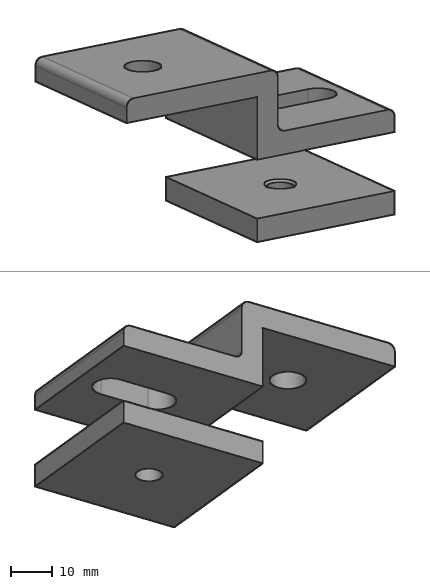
import cadquery as cq

width = 40.0
total_length = 78.0
thickness = 6.0
plate_length = 40.0
gap = 15.0
bracket_height = 22.0
edge_radius = 2.0

bolt_hole_diameter = 9.0
slot_width = 9.0
slot_length = 22.55
slot_offset = 4.2
bolt_hole_setback = 18.0
plate_hole_diameter = 6.6
chamfer_size = 0.6

back_y = total_length / 2
front_y = -total_length / 2
plate_front_y = back_y - plate_length
web_back_y = plate_front_y + thickness
bracket_bottom_z = thickness + gap
leg_top_z = bracket_bottom_z + thickness
bracket_top_z = bracket_bottom_z + bracket_height
leg_center_y = back_y - plate_length / 2
bolt_hole_y = front_y + bolt_hole_setback


def make_clamp_plate():
    """Flat plate with one hole, chamfered at its upper rim."""
    plate = cq.Workplane("XY").box(width, plate_length, thickness, centered=(True, True, False))
    plate = plate.faces(">Z").workplane().hole(plate_hole_diameter)
    plate = plate.faces(">Z").edges("%CIRCLE").chamfer(chamfer_size)
    return plate.translate((0, leg_center_y, 0))


def make_bracket_body():
    """Z-shaped profile in the YZ plane, extruded across the width."""
    body = (
        cq.Workplane("YZ")
        .moveTo(back_y, bracket_bottom_z)
        .lineTo(back_y, leg_top_z)
        .lineTo(web_back_y, leg_top_z)
        .lineTo(web_back_y, bracket_top_z)
        .lineTo(front_y, bracket_top_z)
        .lineTo(front_y, bracket_top_z - thickness)
        .lineTo(plate_front_y, bracket_top_z - thickness)
        .lineTo(plate_front_y, bracket_bottom_z)
        .close()
        .extrude(width / 2, both=True)
    )
    rounded_corners = [
        (back_y, leg_top_z),
        (web_back_y, leg_top_z),
        (web_back_y, bracket_top_z),
        (front_y, bracket_top_z),
    ]
    for y, z in rounded_corners:
        body = body.edges(cq.NearestToPointSelector((0, y, z))).fillet(edge_radius)
    return body


def make_bracket():
    """Stepped bracket with a slot in the lower leg and a hole in the upper leg."""
    slot = (
        cq.Workplane("XY", origin=(0, leg_center_y + slot_offset, bracket_bottom_z))
        .slot2D(slot_length, slot_width, 90)
        .extrude(thickness)
    )
    bolt_hole = (
        cq.Workplane("XY", origin=(0, bolt_hole_y, bracket_top_z - thickness))
        .circle(bolt_hole_diameter / 2)
        .extrude(thickness)
    )
    return make_bracket_body().cut(slot).cut(bolt_hole)


clamp_plate = make_clamp_plate()
bracket = make_bracket()

result = cq.Compound.makeCompound([clamp_plate.val(), bracket.val()])